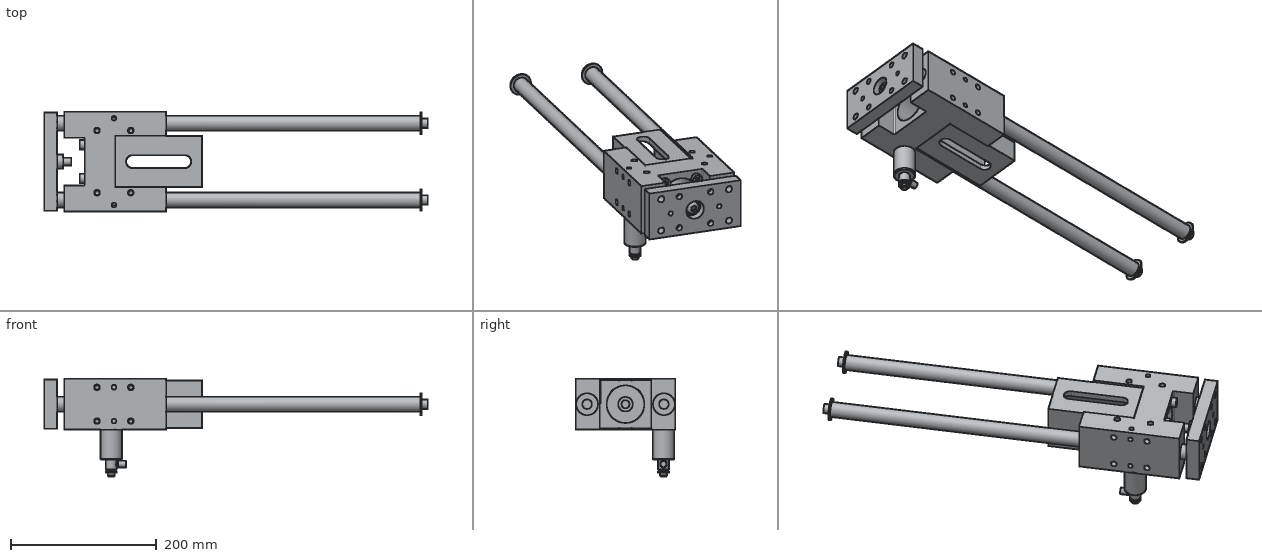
import cadquery as cq

block_front_x = 27.5
block_length = 140.0
block_width = 137.0
block_height = 70.0
block_back_x = block_front_x + block_length
block_top_z = block_height / 2

pocket_width = 65.0
pocket_back_x = 56.0
pocket_corner_radius = 1.5

tongue_front_x = 97.5
tongue_end_x = 216.5
tongue_width = 70.5
tongue_ledge_width = 1.0
tongue_ledge_z = 1.5
tongue_height = 65.0
slot_front_x = 112.5
slot_end_x = 201.5
slot_width = 17.5

bore_diameter = 51.5

screw_head_diameter = 13.0
screw_head_height = 7.0
screw_head_y = 23.0
screw_head_z = 23.0
screw_socket_corner_width = 6.5
screw_socket_depth = 4.0

hole_middle_x = 95.5
hole_spacing_x = 23.0
side_hole_z = 23.0
top_hole_y = 42.5
top_dowel_y = 59.5
thread_diameter = 8.0
tap_drill_diameter = 6.5
thread_depth = 10.5
tap_drill_depth = 13.5
drill_tip_height = 2.0
dowel_diameter = 6.5
dowel_depth = 8.5

absorber_x = 92.0
absorber_y = 52.0
absorber_diameter = 30.0
absorber_bottom_z = -76.5
absorber_chamfer = 1.5
stem_diameter = 15.0
stem_bottom_z = -90.5
stem_chamfer = 1.0
groove_diameter = 13.0
collar_top_z = -92.5
collar_bottom_z = -93.5
tip_diameter = 10.0
overall_height = 134.0
tip_bottom_z = block_top_z - overall_height
tip_chamfer = 1.5
knob_z = -82.0
knob_neck_diameter = 8.0
knob_neck_end_x = 101.0
knob_diameter = 9.5
knob_end_x = 112.5
knob_chamfer = 0.5

plate_thickness = 18.0
plate_width = 134.5
plate_height = 68.0
rod_diameter = 21.0
rod_y = 52.5
ring_x = 515.5
ring_thickness = 2.0
ring_diameter = 30.0
journal_diameter = 13.0
slide_end_x = 526.0

corner_hole_diameter = 9.0
corner_hole_y = 50.0
inner_hole_y = 23.0
plate_hole_z = 23.0
pin_hole_diameter = 6.5
pin_hole_y = 36.0
pin_hole_depth = 10.5

counterbore_diameter = 26.0
counterbore_depth = 12.5
stop_washer_diameter = 21.0
stop_washer_thickness = 2.0
stop_head_diameter = 18.0
stop_head_height = 6.5
stop_head_fillet = 4.0
stop_socket_corner_width = 8.5
stop_socket_depth = 5.0
stop_nut_diameter = 20.0
stop_nut_end_x = 26.5
stop_stud_diameter = 11.0
stop_stud_end_x = 37.5


def box_between(x0, x1, width, height):
    """Box from x0 to x1, centred on the X axis."""
    return cq.Workplane("XY").box(x1 - x0, width, height).translate(((x0 + x1) / 2, 0, 0))


def rod_along_x(x0, x1, diameter, y=0, z=0):
    return cq.Workplane("YZ", origin=(x0, y, z)).circle(diameter / 2).extrude(x1 - x0)


def rod_along_z(z0, z1, diameter, x, y):
    return cq.Workplane("XY", origin=(x, y, z0)).circle(diameter / 2).extrude(z1 - z0)


def hex_along_x(x0, x1, across_corners, y=0, z=0):
    """Hexagonal prism with two of its corners pointing up and down."""
    hexagon = cq.Workplane("YZ", origin=(x0, y, z)).transformed(rotate=(0, 0, 90)).polygon(6, across_corners)
    return hexagon.extrude(x1 - x0)


def drill(face_plane, points, diameter, depth):
    """Blind cutters sunk below a plane that faces outwards."""
    return cq.Workplane(face_plane).pushPoints(points).circle(diameter / 2).extrude(-depth)


def cut_threaded_holes(body, face_plane, points):
    """Blind threaded holes, each ending in a tap drill hole with a conical tip."""
    tap_drill = drill(face_plane, points, tap_drill_diameter, tap_drill_depth)
    tip = cq.Solid.makeCone(tap_drill_diameter / 2, 0, drill_tip_height, dir=cq.Vector(0, 0, -1))
    tips = cq.Workplane(face_plane).workplane(offset=-tap_drill_depth).pushPoints(points)
    tips = tips.eachpoint(tip.moved, useLocalCoordinates=True)
    threads = drill(face_plane, points, thread_diameter, thread_depth)
    return body.cut(threads).cut(tap_drill).cut(tips)


def make_block():
    block = box_between(block_front_x, block_back_x, block_width, block_height)
    pocket = box_between(block_front_x, pocket_back_x, pocket_width, block_height)
    pocket = pocket.edges("|Z and >X").fillet(pocket_corner_radius)
    block = block.cut(pocket)
    block = block.cut(box_between(tongue_front_x, block_back_x, tongue_width, block_height))
    for y in (-rod_y, rod_y):
        block = block.cut(rod_along_x(block_front_x, block_back_x, rod_diameter, y))
    return block


def add_slotted_tongue(block):
    half_height = tongue_height / 2
    tongue = box_between(tongue_front_x, tongue_end_x, tongue_width, tongue_height)
    set_back_height = half_height - tongue_ledge_z
    set_back_y = (tongue_ledge_width - tongue_width) / 2
    set_back_z = (half_height + tongue_ledge_z) / 2
    set_back = box_between(tongue_front_x, tongue_end_x, tongue_ledge_width, set_back_height)
    set_back = set_back.translate((0, set_back_y, set_back_z))
    slot = (
        cq.Workplane("XY")
        .center((slot_front_x + slot_end_x) / 2, 0)
        .slot2D(slot_end_x - slot_front_x, slot_width)
        .extrude(half_height, both=True)
    )
    block = block.union(tongue.cut(set_back)).cut(slot)
    return block.cut(rod_along_x(pocket_back_x, tongue_end_x, bore_diameter))


def cut_mounting_holes(block):
    outer_xs = (hole_middle_x - hole_spacing_x, hole_middle_x + hole_spacing_x)
    side_zs = (-side_hole_z, side_hole_z)
    side_threads = [(x, z) for x in outer_xs for z in side_zs]
    side_dowels = [(hole_middle_x, z) for z in side_zs]
    for side in (-1, 1):
        side_plane = cq.Plane((0, side * block_width / 2, 0), (side, 0, 0), (0, side, 0))
        points = [(side * x, z) for x, z in side_threads]
        block = cut_threaded_holes(block, side_plane, points)
        points = [(side * x, z) for x, z in side_dowels]
        block = block.cut(drill(side_plane, points, dowel_diameter, dowel_depth))

    top_plane = cq.Plane((0, 0, block_top_z))
    top_threads = [(x, y) for x in outer_xs for y in (-top_hole_y, top_hole_y)]
    block = cut_threaded_holes(block, top_plane, top_threads)
    top_dowels = [(hole_middle_x, -top_dowel_y), (hole_middle_x, top_dowel_y)]
    return block.cut(drill(top_plane, top_dowels, dowel_diameter, dowel_depth))


def add_screw_heads(block):
    head_front_x = pocket_back_x - screw_head_height
    for y in (-screw_head_y, screw_head_y):
        block = block.union(rod_along_x(head_front_x, pocket_back_x, screw_head_diameter, y, screw_head_z))
        socket_end_x = head_front_x + screw_socket_depth
        block = block.cut(hex_along_x(head_front_x, socket_end_x, screw_socket_corner_width, y, screw_head_z))
    return block


def make_absorber():
    def section(z0, z1, diameter):
        return rod_along_z(z0, z1, diameter, absorber_x, absorber_y)

    absorber = section(absorber_bottom_z, -block_top_z, absorber_diameter).faces("<Z").chamfer(absorber_chamfer)
    stem = section(stem_bottom_z, absorber_bottom_z, stem_diameter).faces("<Z").chamfer(stem_chamfer)
    absorber = absorber.union(stem)
    absorber = absorber.union(section(collar_top_z, stem_bottom_z, groove_diameter))
    absorber = absorber.union(section(collar_bottom_z, collar_top_z, stem_diameter))
    tip = section(tip_bottom_z, collar_bottom_z, tip_diameter).faces("<Z").chamfer(tip_chamfer)
    knob_neck = rod_along_x(absorber_x, knob_neck_end_x, knob_neck_diameter, absorber_y, knob_z)
    knob = rod_along_x(knob_neck_end_x, knob_end_x, knob_diameter, absorber_y, knob_z)
    knob = knob.faces("<X or >X").chamfer(knob_chamfer)
    return absorber.union(tip).union(knob_neck).union(knob)


def make_housing():
    housing = add_slotted_tongue(make_block())
    housing = cut_mounting_holes(housing)
    housing = add_screw_heads(housing)
    return housing.union(make_absorber())


def make_front_plate():
    plate = box_between(0, plate_thickness, plate_width, plate_height)
    for y in (-corner_hole_y, corner_hole_y):
        for z in (-plate_hole_z, plate_hole_z):
            plate = plate.cut(rod_along_x(0, plate_thickness, corner_hole_diameter, y, z))
    for y in (-inner_hole_y, inner_hole_y):
        for z in (-plate_hole_z, plate_hole_z):
            plate = plate.cut(rod_along_x(0, thread_depth, thread_diameter, y, z))
            plate = plate.cut(rod_along_x(thread_depth, plate_thickness, tap_drill_diameter, y, z))
    for y in (-pin_hole_y, pin_hole_y):
        plate = plate.cut(rod_along_x(0, pin_hole_depth, pin_hole_diameter, y))
    return plate.cut(rod_along_x(0, counterbore_depth, counterbore_diameter))


def make_stop_screw():
    """Screw head in the counterbore, and nut with stud behind the plate."""
    head_back_x = counterbore_depth - stop_washer_thickness
    head_front_x = head_back_x - stop_head_height
    washer = rod_along_x(head_back_x, counterbore_depth, stop_washer_diameter)
    head = rod_along_x(head_front_x, head_back_x, stop_head_diameter)
    head = head.faces("<X").edges().fillet(stop_head_fillet)
    head = head.cut(hex_along_x(head_front_x, head_front_x + stop_socket_depth, stop_socket_corner_width))
    nut = rod_along_x(plate_thickness, stop_nut_end_x, stop_nut_diameter)
    stud = rod_along_x(stop_nut_end_x, stop_stud_end_x, stop_stud_diameter)
    return head.union(washer), nut.union(stud)


def make_guide_rod(y):
    shaft = rod_along_x(plate_thickness, ring_x, rod_diameter, y)
    ring = rod_along_x(ring_x, ring_x + ring_thickness, ring_diameter, y)
    journal = rod_along_x(ring_x + ring_thickness, slide_end_x, journal_diameter, y)
    return shaft.union(ring).union(journal)


def make_slide():
    slide = make_front_plate()
    for part in make_stop_screw():
        slide = slide.union(part)
    for y in (-rod_y, rod_y):
        slide = slide.union(make_guide_rod(y))
    return slide


housing = make_housing()
slide = make_slide()
result = cq.Compound.makeCompound([housing.val(), slide.val()])